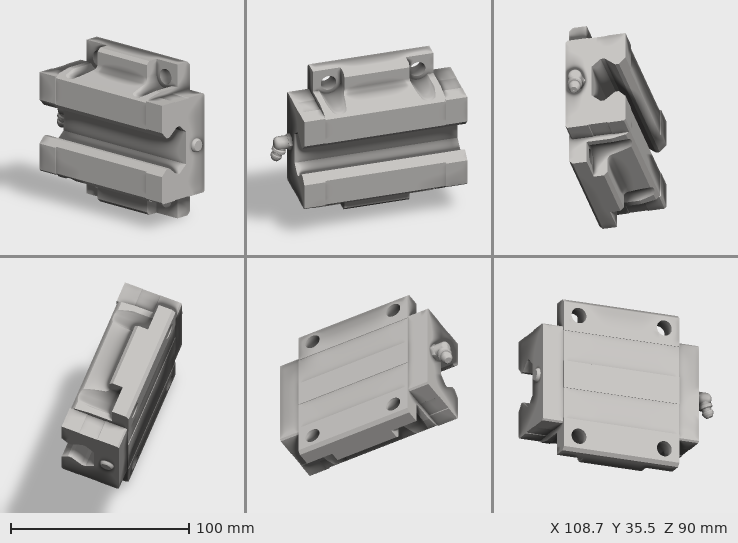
import cadquery as cq
import math


carriage_length = 70.4
flange_half_width = 45.0
flange_thickness = 18.0
flange_chamfer = 2.0
carriage_depth = 35.0
root_fillet = 3.0
flank_angle = math.radians(11)
flank_end_depth = 32.6
flank_end_half_width = 30.2
front_chamfer = 2.4
relief_inner = 8.0
relief_outer = 26.1
relief_depth = 0.3

hole_diameter = 9.0
hole_spacing_x = 52.0
hole_spacing_z = 71.9
seat_radius = 7.0
seat_depth = 10.1
seat_end_half_width = 31.8

caps_overall_length = 95.2
cap_half_width = 28.9
cap_back = 1.0
cap_front = 35.5
cap_chamfer = 1.0
side_recess_start = 13.9
side_recess_end = 25.1
side_recess_depth = 0.3

slot_floor_depth = 16.0
slot_floor_half_width = 9.5
groove_half_width = 13.9
groove_start = 21.2
groove_end = 23.4
lip_half_width = 9.0
lip_start = 29.6
lip_end = 31.7
mouth_half_width = lip_half_width + cap_front - lip_end

fitting_depth = 8.0
hex_across_flats = 8.0
hex_length = 2.2
hex_chamfer_length = 0.4
hex_chamfer_inset = 0.7
elbow_diameter = 7.8
elbow_length = 9.8
elbow_round = 2.5
nipple_offset = 5.1
nipple_tilt = math.radians(22.5)

nipple_radius = 6.6 / 2
collar_radius = 8.0 / 2
collar_start = 3.5
collar_band_start = 4.0
collar_band_end = 5.5
collar_end = 6.0
neck_radius = 5.5 / 2
neck_end = 7.5
shoulder_end = 7.7
head_straight_end = 8.5
head_round_end = 9.7
head_round_radius = 2.9
tip_radius = 2.0
tip_bore_radius = 0.9
tip_bore_depth = 0.2
nipple_length = 11.1

plug_radius = 8.0 / 2
plug_round = 2.5
plug_height = 2.0

carriage_end = carriage_length / 2
cap_end = caps_overall_length / 2


def block(x_range, depth_range, z_range):
    """Box between the given limits along X, depth and Z."""
    length = x_range[1] - x_range[0]
    depth = depth_range[1] - depth_range[0]
    height = z_range[1] - z_range[0]
    corner = (x_range[0], -depth_range[1], z_range[0])
    return cq.Workplane("XY").box(length, depth, height, centered=False).translate(corner)


def mirrored_in_z(half):
    return half.union(half.mirror("XY"))


def make_carriage():
    fillet_end_depth = flange_thickness + root_fillet * (1 - math.sin(flank_angle))
    fillet_end_z = flank_end_half_width + (flank_end_depth - fillet_end_depth) * math.tan(flank_angle)
    fillet_centre_z = fillet_end_z + root_fillet * math.cos(flank_angle)
    mid_angle = (math.pi / 2 - flank_angle) / 2
    fillet_mid = (
        -(flange_thickness + root_fillet * (1 - math.cos(mid_angle))),
        fillet_centre_z - root_fillet * math.sin(mid_angle),
    )
    half = (
        cq.Workplane("YZ", origin=(-carriage_end, 0, 0))
        .moveTo(0, 0)
        .lineTo(0, relief_inner)
        .lineTo(-relief_depth, relief_inner)
        .lineTo(-relief_depth, relief_outer)
        .lineTo(0, relief_outer)
        .lineTo(0, flange_half_width - flange_chamfer)
        .lineTo(-flange_chamfer, flange_half_width)
        .lineTo(-(flange_thickness - flange_chamfer), flange_half_width)
        .lineTo(-flange_thickness, flange_half_width - flange_chamfer)
        .lineTo(-flange_thickness, fillet_centre_z)
        .threePointArc(fillet_mid, (-fillet_end_depth, fillet_end_z))
        .lineTo(-flank_end_depth, flank_end_half_width)
        .lineTo(-carriage_depth, flank_end_half_width - front_chamfer)
        .lineTo(-carriage_depth, 0)
        .close()
        .extrude(carriage_length)
    )
    return mirrored_in_z(half)


def make_bolt_seat():
    """Cutter for the seat near the +X, +Z corner, with its through hole."""
    hole_x = hole_spacing_x / 2
    hole_z = hole_spacing_z / 2
    depths = (seat_depth, cap_front)
    above_hole = block((hole_x - seat_radius, carriage_end), depths, (hole_z, flange_half_width))
    beside_hole = block((hole_x, carriage_end), depths, (seat_end_half_width, flange_half_width))
    round_seat = (
        cq.Workplane("XZ", origin=(hole_x, -seat_depth, hole_z))
        .circle(seat_radius)
        .extrude(cap_front - seat_depth)
    )
    hole = cq.Workplane("XZ", origin=(hole_x, 0, hole_z)).circle(hole_diameter / 2).extrude(cap_front)
    return above_hole.union(beside_hole).union(round_seat).union(hole)


def make_cap(start_x):
    outline = [
        (-cap_back, -cap_half_width + cap_chamfer),
        (-cap_back, cap_half_width - cap_chamfer),
        (-cap_back - cap_chamfer, cap_half_width),
        (-cap_front, cap_half_width),
        (-cap_front, -cap_half_width + cap_chamfer),
        (-cap_front + cap_chamfer, -cap_half_width),
        (-cap_back - cap_chamfer, -cap_half_width),
    ]
    length = cap_end - carriage_end
    cap = cq.Workplane("YZ", origin=(start_x, 0, 0)).polyline(outline).close().extrude(length)
    recess_outline = [
        (-side_recess_start, cap_half_width),
        (-side_recess_start - side_recess_depth, cap_half_width - side_recess_depth),
        (-side_recess_end + side_recess_depth, cap_half_width - side_recess_depth),
        (-side_recess_end, cap_half_width),
    ]
    recess = cq.Workplane("YZ", origin=(start_x, 0, 0)).polyline(recess_outline).close().extrude(length)
    return cap.cut(recess).cut(recess.mirror("XY"))


def make_rail_slot():
    half_outline = [
        (-slot_floor_depth, 0),
        (-slot_floor_depth, slot_floor_half_width),
        (-groove_start, groove_half_width),
        (-groove_end, groove_half_width),
        (-lip_start, lip_half_width),
        (-lip_end, lip_half_width),
        (-cap_front, mouth_half_width),
        (-cap_front, 0),
    ]
    half = cq.Workplane("YZ", origin=(-cap_end, 0, 0)).polyline(half_outline).close()
    return mirrored_in_z(half.extrude(caps_overall_length))


def make_grease_nipple():
    """Hexagon and elbow on the -X cap, with the nipple head tilted away from the cap."""
    cap_face = cq.Workplane("YZ", origin=(-cap_end, -fitting_depth, 0))
    hex_across_corners = hex_across_flats / math.cos(math.pi / 6)
    hexagon = cap_face.polygon(6, hex_across_corners).extrude(-hex_length)
    hex_round = cap_face.circle(hex_across_corners / 2).extrude(-hex_length)
    hexagon = hexagon.intersect(hex_round.faces("<X").chamfer(hex_chamfer_inset, hex_chamfer_length))
    elbow = cap_face.circle(elbow_diameter / 2).extrude(-elbow_length)
    elbow = elbow.faces("<X").edges().fillet(elbow_round)

    half_section = [
        (0, 0),
        (nipple_radius, 0),
        (nipple_radius, collar_start),
        (collar_radius, collar_band_start),
        (collar_radius, collar_band_end),
        (nipple_radius, collar_end),
        (neck_radius, collar_end),
        (neck_radius, neck_end),
        (nipple_radius, shoulder_end),
        (nipple_radius, head_straight_end),
        (head_round_radius, head_round_end),
        (tip_radius, nipple_length),
        (tip_bore_radius, nipple_length),
        (tip_bore_radius, nipple_length - tip_bore_depth),
        (0, nipple_length - tip_bore_depth),
    ]
    nipple_plane = cq.Plane(
        origin=(-cap_end - nipple_offset, -fitting_depth, 0),
        xDir=(math.cos(nipple_tilt), 0, -math.sin(nipple_tilt)),
        normal=(0, 1, 0),
    )
    nipple = (
        cq.Workplane(nipple_plane)
        .polyline(half_section)
        .close()
        .revolve(360, (0, 0), (0, 1))
    )
    return hexagon.union(elbow).union(nipple)


def make_plug():
    """Closing plug on the +X cap, its side curving in towards a flat end."""
    arc_centre = plug_radius - plug_round
    end_radius = arc_centre + math.sqrt(plug_round ** 2 - plug_height ** 2)
    half_angle = math.asin(plug_height / plug_round) / 2
    arc_mid = (plug_round * math.sin(half_angle), arc_centre + plug_round * math.cos(half_angle))
    return (
        cq.Workplane("XY", origin=(cap_end, -fitting_depth, 0))
        .moveTo(0, 0)
        .lineTo(0, plug_radius)
        .threePointArc(arc_mid, (plug_height, end_radius))
        .lineTo(plug_height, 0)
        .close()
        .revolve(360, (0, 0), (1, 0))
    )


result = make_carriage()
seat = make_bolt_seat()
for cutter in (seat, seat.mirror("YZ")):
    result = result.cut(cutter).cut(cutter.mirror("XY"))
for cap_start in (-cap_end, carriage_end):
    result = result.union(make_cap(cap_start))
result = result.cut(make_rail_slot())
result = result.union(make_grease_nipple()).union(make_plug())